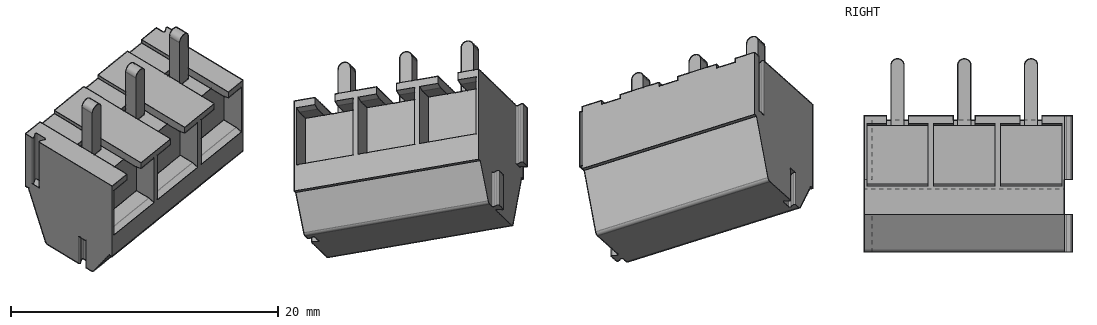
import cadquery as cq
import math

poles = 3
overall_length = 15.6
body_width = 8.6
body_length = 15.0
body_height = 10.22
pitch = body_length / poles
ledge = 0.3
left_wall_height = 5.49
right_wall_height = 7.4
left_slope = 20.3
right_slope = 30
bottom_radius = 0.31

dovetail_depth = overall_length - body_length
dovetail_neck = 0.44
dovetail_tip = 1.09
dovetail_radius = 0.1
upper_dovetail_x = 1.03
lower_dovetail_x = 5.65
upper_dovetail_length = 4.79

slot_width = 1.62
slot_depth = 0.33
pocket_start = 3.5
pocket_depth = 0.75

rib = 0.4
opening_width = pitch - rib
opening_height = 4.37
opening_start = 6.86
funnel_length = 0.51
funnel_rise = 0.15

pin_x = 4.38
pin_width = 1.01
pin_thickness = 1.0
pin_height = 4.27


def make_body():
    left_drop = body_height - left_wall_height
    right_drop = body_height - right_wall_height
    bottom_left = ledge + left_drop * math.tan(math.radians(left_slope))
    bottom_right = body_width - ledge - right_drop * math.tan(math.radians(right_slope))
    profile = [
        (0, body_height),
        (0, left_drop),
        (ledge, left_drop),
        (bottom_left, 0),
        (bottom_right, 0),
        (body_width - ledge, right_drop),
        (body_width, right_drop),
        (body_width, body_height),
    ]
    body = cq.Workplane("XZ").polyline(profile).close().extrude(-body_length)
    return body.edges("|Y and <Z").fillet(bottom_radius)


def make_dovetail(x, wall_y, z_low, z_high):
    """Dovetail bar that widens toward +Y, with all its corners rounded, its root on the wall at wall_y.

    The outline carries a wide root strip behind the wall, which gives the neck its blend corners.
    """
    half_neck = dovetail_neck / 2
    half_tip = dovetail_tip / 2
    root_y = wall_y - dovetail_radius
    tip_y = wall_y + dovetail_depth
    outline = [
        (x - half_tip, root_y),
        (x - half_tip, wall_y),
        (x - half_neck, wall_y),
        (x - half_tip, tip_y),
        (x + half_tip, tip_y),
        (x + half_neck, wall_y),
        (x + half_tip, wall_y),
        (x + half_tip, root_y),
    ]
    bar = cq.Workplane("XY", origin=(0, 0, z_low)).polyline(outline).close().extrude(z_high - z_low)
    neck_zone = cq.selectors.BoxSelector(
        (x - half_neck - dovetail_radius, root_y, z_low),
        (x + half_neck + dovetail_radius, tip_y, z_high),
    )
    bar = bar.edges("|Z").edges(neck_zone).fillet(dovetail_radius)
    return bar.edges("|Z and >Y").fillet(dovetail_radius)


def make_slot(y):
    """Shallow slot across the top that steps down to a deeper pocket toward +X."""
    profile = [
        (0, body_height),
        (0, body_height - slot_depth),
        (pocket_start, body_height - slot_depth),
        (pocket_start, body_height - pocket_depth),
        (body_width, body_height - pocket_depth),
        (body_width, body_height),
    ]
    plane = cq.Workplane("XZ", origin=(0, y + slot_width / 2, 0))
    return plane.polyline(profile).close().extrude(slot_width)


def make_opening(y):
    """Rectangular wire opening whose floor and ceiling flare out at the mouth."""
    ceiling = body_height - pocket_depth
    floor = ceiling - opening_height
    funnel_start = body_width - funnel_length
    profile = [
        (opening_start, floor),
        (funnel_start, floor),
        (body_width, floor - funnel_rise),
        (body_width, ceiling + funnel_rise),
        (funnel_start, ceiling),
        (opening_start, ceiling),
    ]
    plane = cq.Workplane("XZ", origin=(0, y + opening_width / 2, 0))
    return plane.polyline(profile).close().extrude(opening_width)


def make_pin(y):
    """Flat pin with a fully rounded end, standing on the pocket floor."""
    half = pin_thickness / 2
    base = body_height - pocket_depth
    shoulder = body_height + pin_height - half
    return (
        cq.Workplane("YZ", origin=(pin_x - pin_width / 2, y, 0))
        .moveTo(-half, base)
        .lineTo(-half, shoulder)
        .threePointArc((0, shoulder + half), (half, shoulder))
        .lineTo(half, base)
        .close()
        .extrude(pin_width)
    )


result = make_body()

dovetails = [
    (upper_dovetail_x, body_height - upper_dovetail_length, body_height),
    (lower_dovetail_x, 0, body_height - right_wall_height),
]
for x, z_low, z_high in dovetails:
    result = result.cut(make_dovetail(x, 0, z_low, z_high))
    result = result.union(make_dovetail(x, body_length, z_low, z_high))

for pole in range(poles):
    y = (pole + 0.5) * pitch
    result = result.cut(make_slot(y))
    result = result.cut(make_opening(y))
    result = result.union(make_pin(y))